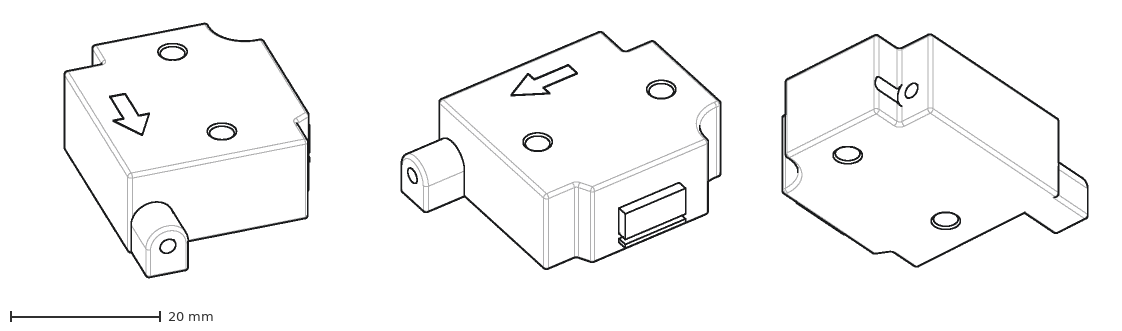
import cadquery as cq
import math

BODY_LENGTH = 31.05
BODY_WIDTH = 27.7
BODY_HEIGHT = 12.8
EDGE_RADIUS = 0.5

SCOOP_RADIUS = 5.0
SCOOP_X = 6.0
SCOOP_Y = 21.9

STEP_Y = 25.48
STEP_TOP_X = 24.96
STEP_BOTTOM_X = 26.09

NOTCH_X = 4.6
NOTCH_Y = 5.55

MOUNT_DIAMETER = 3.3
MOUNT_CHAMFER = 0.3
MOUNT_SPACING = 20.0
MOUNT_FIRST_X = 5.27
MOUNT_Y = 15.2

FILAMENT_Y = 3.34
FILAMENT_Z = 4.7
BORE_DIAMETER = 2.2
SPOUT_RADIUS = 3.0
SPOUT_END_X = 37.41
GROOVE_RADIUS = 2.47

CONNECTOR_END_Y = 29.21
CONNECTOR_LEFT_X = 10.93
CONNECTOR_RIGHT_X = 20.66
SOCKET_BOTTOM_Z = 3.28
SOCKET_TOP_Z = 7.65
TAB_BOTTOM_Z = 1.8
TAB_TOP_Z = 2.45

ARROW_TAIL_X = 12.54
ARROW_NECK_X = 18.03
ARROW_TIP_X = 22.53
ARROW_Y = 4.89
ARROW_SHAFT_WIDTH = 2.14
ARROW_HEAD_WIDTH = 5.1
ARROW_DEPTH = 0.1


def make_body():
    """Housing block with every edge rounded."""
    scoop_centre_x = SCOOP_X - SCOOP_RADIUS
    scoop_centre_y = SCOOP_Y + SCOOP_RADIUS
    scoop_reach = SCOOP_RADIUS * math.sqrt(0.5)
    scoop_middle = (scoop_centre_x + scoop_reach, scoop_centre_y - scoop_reach)
    outline = (
        cq.Workplane("XY")
        .moveTo(NOTCH_X, 0)
        .lineTo(BODY_LENGTH, 0)
        .lineTo(BODY_LENGTH, STEP_Y)
        .lineTo(STEP_BOTTOM_X, STEP_Y)
        .lineTo(STEP_TOP_X, BODY_WIDTH)
        .lineTo(SCOOP_X, BODY_WIDTH)
        .lineTo(SCOOP_X, scoop_centre_y)
        .threePointArc(scoop_middle, (scoop_centre_x, SCOOP_Y))
        .lineTo(0, SCOOP_Y)
        .lineTo(0, NOTCH_Y)
        .lineTo(NOTCH_X, NOTCH_Y)
        .close()
    )
    block = outline.extrude(BODY_HEIGHT)
    tangent_ends = cq.selectors.BoxSelector(
        (scoop_centre_x - EDGE_RADIUS / 2, SCOOP_Y - EDGE_RADIUS / 2, 0),
        (SCOOP_X + EDGE_RADIUS / 2, scoop_centre_y + EDGE_RADIUS / 2, BODY_HEIGHT),
    )
    corners = block.edges(cq.StringSyntaxSelector("|Z") - tangent_ends)
    return corners.fillet(EDGE_RADIUS).faces("<Z or >Z").edges().fillet(EDGE_RADIUS)


def x_cylinder(radius, start_x, end_x):
    """Cylinder on the filament axis between two X positions."""
    base = cq.Workplane("YZ", origin=(start_x, FILAMENT_Y, FILAMENT_Z))
    return base.circle(radius).extrude(end_x - start_x)


def make_spout():
    """Round-topped outlet that starts inside the housing and leaves its right wall."""
    start_x = BODY_LENGTH - 2 * EDGE_RADIUS
    spout = (
        cq.Workplane("YZ", origin=(start_x, FILAMENT_Y, 0))
        .moveTo(-SPOUT_RADIUS, 0)
        .lineTo(SPOUT_RADIUS, 0)
        .lineTo(SPOUT_RADIUS, FILAMENT_Z)
        .threePointArc((0, FILAMENT_Z + SPOUT_RADIUS), (-SPOUT_RADIUS, FILAMENT_Z))
        .close()
        .extrude(SPOUT_END_X - start_x)
    )
    bottom_sides = spout.faces("<Z").edges("|X")
    return bottom_sides.fillet(EDGE_RADIUS).faces(">X").edges().fillet(EDGE_RADIUS)


def make_connector_block(bottom_z, top_z):
    """Rectangular block standing out of the back wall."""
    start_y = BODY_WIDTH - 2 * EDGE_RADIUS
    length = CONNECTOR_RIGHT_X - CONNECTOR_LEFT_X
    block = cq.Workplane("XY").box(length, CONNECTOR_END_Y - start_y, top_z - bottom_z, centered=False)
    return block.translate((CONNECTOR_LEFT_X, start_y, bottom_z))


def make_mount_hole(centre_x):
    """Cutter for one through hole with a chamfered mouth at the top and bottom."""
    mouth_radius = MOUNT_DIAMETER / 2 + MOUNT_CHAMFER
    profile = (
        cq.Workplane("XZ", origin=(centre_x, MOUNT_Y, 0))
        .lineTo(mouth_radius, 0)
        .lineTo(MOUNT_DIAMETER / 2, MOUNT_CHAMFER)
        .lineTo(MOUNT_DIAMETER / 2, BODY_HEIGHT - MOUNT_CHAMFER)
        .lineTo(mouth_radius, BODY_HEIGHT)
        .lineTo(0, BODY_HEIGHT)
        .close()
    )
    return profile.revolve(360, (0, 0, 0), (0, 1, 0))


def make_arrow():
    """Cutter for the arrow."""
    shaft_half = ARROW_SHAFT_WIDTH / 2
    head_half = ARROW_HEAD_WIDTH / 2
    return (
        cq.Workplane("XY", origin=(0, ARROW_Y, BODY_HEIGHT - ARROW_DEPTH))
        .moveTo(ARROW_TAIL_X, -shaft_half)
        .lineTo(ARROW_NECK_X, -shaft_half)
        .lineTo(ARROW_NECK_X, -head_half)
        .lineTo(ARROW_TIP_X, 0)
        .lineTo(ARROW_NECK_X, head_half)
        .lineTo(ARROW_NECK_X, shaft_half)
        .lineTo(ARROW_TAIL_X, shaft_half)
        .close()
        .extrude(ARROW_DEPTH)
    )


result = make_body().union(make_spout())
result = result.union(make_connector_block(SOCKET_BOTTOM_Z, SOCKET_TOP_Z))
result = result.union(make_connector_block(TAB_BOTTOM_Z, TAB_TOP_Z))

for hole_x in (MOUNT_FIRST_X, MOUNT_FIRST_X + MOUNT_SPACING):
    result = result.cut(make_mount_hole(hole_x))

result = result.cut(x_cylinder(GROOVE_RADIUS, 0, NOTCH_X))
result = result.cut(x_cylinder(BORE_DIAMETER / 2, 0, SPOUT_END_X))
result = result.cut(make_arrow())